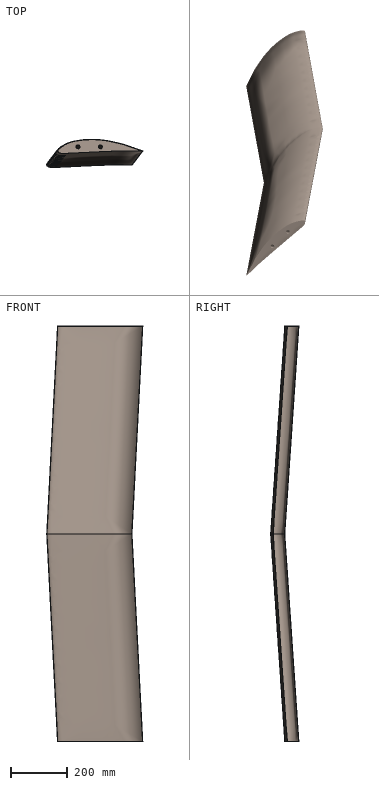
import cadquery as cq

SPAN = 1474.0
HALF_SPAN = SPAN / 2
CHORD = 302.0
SWEEP_X = 38.0
SWEEP_Y = 50.0

LEADING_EDGE = (0, 0)
TRAILING_EDGE = (CHORD, 0)
CONVEX_POINTS = [(206.0, 31.0), (125.0, 41.0), (78.0, 38.0), (40.0, 30.0), (12.0, 15.0)]
FLAT_POINTS = [(6.0, -6.0), (24.0, -9.0), (60.0, -7.0), (145.0, -3.0), (206.0, 0), TRAILING_EDGE]

SPAR_HOLE_DIAMETER = 13.0
SPAR_HOLE_CENTERS = [(72.0, 15.0), (152.0, 15.0)]


def extrude_to_tip(outline, side):
    """Extrude a horizontal root outline along the slanted line to one tip (side +1 or -1)."""
    direction = cq.Vector(SWEEP_X, SWEEP_Y, side * HALF_SPAN)
    face = cq.Face.makeFromWires(outline.wire().val())
    return cq.Workplane(cq.Solid.extrudeLinear(face, direction))


def draw_airfoil():
    """Closed airfoil outline with a round nose and a sharp trailing edge."""
    return (
        cq.Workplane("XY")
        .moveTo(*TRAILING_EDGE)
        .spline([*CONVEX_POINTS, LEADING_EDGE, *FLAT_POINTS], includeCurrent=True)
    )


def draw_spar_hole(center):
    """Circular outline of one spar hole."""
    return cq.Workplane("XY").moveTo(*center).circle(SPAR_HOLE_DIAMETER / 2)


def make_panel(side):
    """One wing panel from the root plane to its tip, with its spar holes."""
    panel = extrude_to_tip(draw_airfoil(), side)
    for center in SPAR_HOLE_CENTERS:
        panel = panel.cut(extrude_to_tip(draw_spar_hole(center), side))
    return panel


panels = [make_panel(side) for side in (1, -1)]

result = cq.Compound.makeCompound([panel.val() for panel in panels])